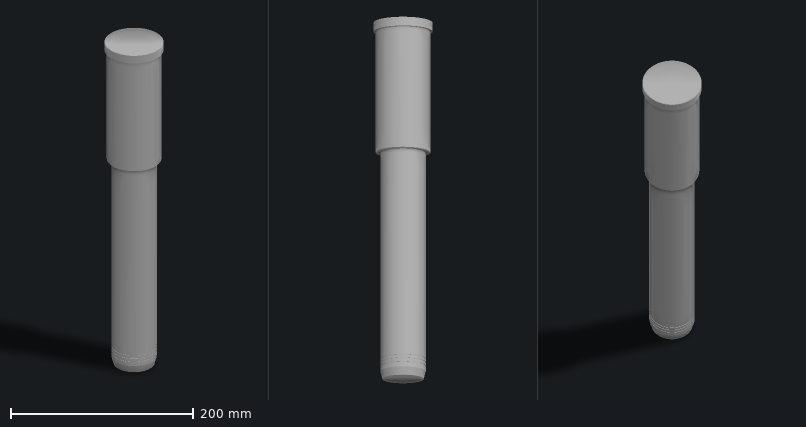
import cadquery as cq
import math

TOTAL_LENGTH = 400.0
HEAD_HEIGHT = 10.0
BODY_LENGTH = 136.0
HEAD_BOTTOM = TOTAL_LENGTH - HEAD_HEIGHT
BODY_BOTTOM = HEAD_BOTTOM - BODY_LENGTH

HEAD_RADIUS = 65.0 / 2
BODY_RADIUS = 60.0 / 2
SHAFT_RADIUS = 50.0 / 2

HEAD_CHAMFER = 0.5
BODY_CHAMFER = 0.5

NOSE_HEIGHT = 9.0
NOSE_TAPER_ANGLE = math.radians(15)
NOSE_EDGE_FILLET = 0.5
NOSE_END_RADIUS = SHAFT_RADIUS - NOSE_HEIGHT * math.tan(NOSE_TAPER_ANGLE)

GROOVE_WIDTH = 1.0
GROOVE_DEPTH = 0.5
NOSE_GROOVE_COUNT = 3
NOSE_GROOVE_PITCH = 4.0
FIRST_NOSE_GROOVE_BOTTOM = 14.0


def stepped_pin():
    """Head, body, shaft and tapered nose, revolved as one profile on the -X side."""
    pin = (
        cq.Workplane("XZ")
        .lineTo(-NOSE_END_RADIUS, 0)
        .lineTo(-SHAFT_RADIUS, NOSE_HEIGHT)
        .lineTo(-SHAFT_RADIUS, BODY_BOTTOM)
        .lineTo(-(BODY_RADIUS - BODY_CHAMFER), BODY_BOTTOM)
        .lineTo(-BODY_RADIUS, BODY_BOTTOM + BODY_CHAMFER)
        .lineTo(-BODY_RADIUS, HEAD_BOTTOM)
        .lineTo(-HEAD_RADIUS, HEAD_BOTTOM)
        .lineTo(-HEAD_RADIUS, TOTAL_LENGTH - HEAD_CHAMFER)
        .lineTo(-(HEAD_RADIUS - HEAD_CHAMFER), TOTAL_LENGTH)
        .lineTo(0, TOTAL_LENGTH)
        .close()
        .revolve(360, (0, 0), (0, 1))
    )
    return pin.faces("<Z").edges().fillet(NOSE_EDGE_FILLET)


def groove_cutter(radius, bottom):
    """Ring that cuts one groove into a cylinder of the given radius."""
    root_radius = radius - GROOVE_DEPTH
    return (
        cq.Workplane("XZ")
        .moveTo(-root_radius, bottom)
        .lineTo(-radius, bottom)
        .lineTo(-radius, bottom + GROOVE_WIDTH)
        .lineTo(-root_radius, bottom + GROOVE_WIDTH)
        .close()
        .revolve(360, (0, 0), (0, 1))
    )


result = stepped_pin()

result = result.cut(groove_cutter(BODY_RADIUS, HEAD_BOTTOM - GROOVE_WIDTH))
result = result.cut(groove_cutter(SHAFT_RADIUS, BODY_BOTTOM - GROOVE_WIDTH))

for groove_index in range(NOSE_GROOVE_COUNT):
    groove_bottom = FIRST_NOSE_GROOVE_BOTTOM + groove_index * NOSE_GROOVE_PITCH
    result = result.cut(groove_cutter(SHAFT_RADIUS, groove_bottom))